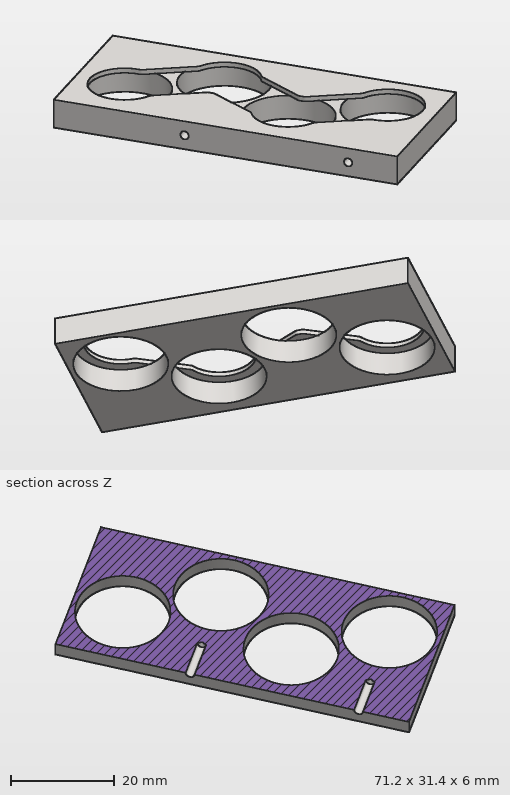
import cadquery as cq
import math

LENGTH = 71.15
WIDTH = 31.4
HEIGHT = 6.0

CELL_COUNT = 4
CELL_PITCH = 16.9
CELL_OFFSET = 4.8
ROW_CENTER_Y = 0.7
CELL_RADIUS = 9.2

LIP_THICKNESS = 1.0
OPENING_RADIUS = 7.2
SLOT_WIDTH = 11.9
CORNER_RADIUS = 1.0

SIDE_HOLE_RADIUS = 0.85
SIDE_HOLE_DEPTH = 8.0
DRILL_TIP_ANGLE = 118

lip_bottom = HEIGHT - LIP_THICKNESS
cell_centers = [
    ((i - (CELL_COUNT - 1) / 2) * CELL_PITCH, ROW_CENTER_Y + CELL_OFFSET * (-1) ** (i + 1))
    for i in range(CELL_COUNT)
]


def make_plate():
    return cq.Workplane("XY").box(LENGTH, WIDTH, HEIGHT, centered=(True, True, False))


def make_cells():
    """Cell bores from the underside up to the lip."""
    return cq.Workplane("XY").pushPoints(cell_centers).circle(CELL_RADIUS).extrude(lip_bottom)


def make_slot_leg(start, end):
    """Straight slot between two neighbouring cell centres."""
    run = end[0] - start[0]
    rise = end[1] - start[1]
    middle = ((start[0] + end[0]) / 2, (start[1] + end[1]) / 2, lip_bottom)
    return (
        cq.Workplane("XY")
        .rect(math.hypot(run, rise), SLOT_WIDTH)
        .extrude(LIP_THICKNESS)
        .rotate((0, 0, 0), (0, 0, 1), math.degrees(math.atan2(rise, run)))
        .translate(middle)
    )


def make_lip_opening():
    """Round openings and slot legs through the lip, with softened corners."""
    opening = (
        cq.Workplane("XY", origin=(0, 0, lip_bottom))
        .pushPoints(cell_centers)
        .circle(OPENING_RADIUS)
        .extrude(LIP_THICKNESS)
    )
    for start, end in zip(cell_centers, cell_centers[1:]):
        opening = opening.union(make_slot_leg(start, end))
    return opening.clean().edges("|Z").fillet(CORNER_RADIUS)


def make_side_hole(x):
    """Drilled hole at mid height, revolved about its axis along Y."""
    tip_length = SIDE_HOLE_RADIUS / math.tan(math.radians(DRILL_TIP_ANGLE / 2))
    return (
        cq.Workplane("XY", origin=(x, -WIDTH / 2, HEIGHT / 2))
        .lineTo(SIDE_HOLE_RADIUS, 0)
        .lineTo(SIDE_HOLE_RADIUS, SIDE_HOLE_DEPTH)
        .lineTo(0, SIDE_HOLE_DEPTH + tip_length)
        .close()
        .revolve(360, (0, 0, 0), (0, 1, 0))
    )


result = make_plate().cut(make_cells()).cut(make_lip_opening())
for cell_x, cell_y in cell_centers:
    if cell_y > ROW_CENTER_Y:
        result = result.cut(make_side_hole(cell_x))